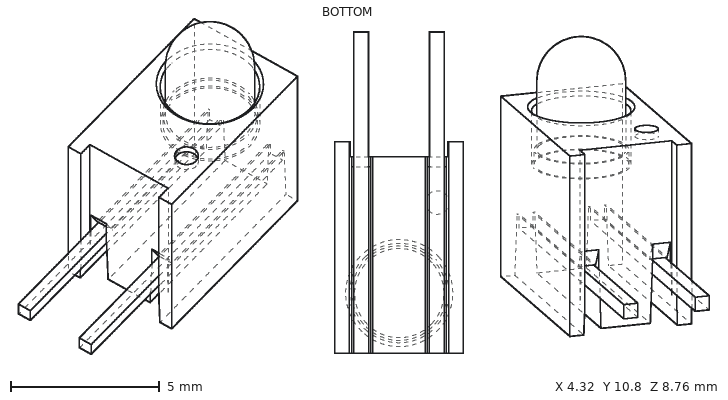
import cadquery as cq
import math

HOUSING_WIDTH = 4.32
HOUSING_DEPTH = 7.11
HOUSING_HEIGHT = 6.35
FRONT_Y = -HOUSING_DEPTH

CHEEK_THICKNESS = 0.53
RECESS_DEPTH = 0.51
RECESS_WIDTH = HOUSING_WIDTH - 2 * CHEEK_THICKNESS
RECESS_Y = FRONT_Y + RECESS_DEPTH

LEAD_PITCH = 2.54
LEAD_SIZE = 0.5
LEAD_TOP_Z = 2.15
LEAD_PROTRUSION = 3.68
LEAD_TIP_Y = FRONT_Y - LEAD_PROTRUSION
LEAD_XS = (-LEAD_PITCH / 2, LEAD_PITCH / 2)

SLOT_TOP_WIDTH = 0.635
SLOT_DRAFT = math.radians(2)
SLOT_BASE_WIDTH = SLOT_TOP_WIDTH + 2 * LEAD_TOP_Z * math.tan(SLOT_DRAFT)
SLOT_ENTRY_TOP_Z = 2.78
SLOT_ENTRY_DEPTH = 0.34

LENS_RADIUS = 1.5
LENS_Y = -2.03
LENS_TOP_Z = 8.76
DOME_BASE_Z = LENS_TOP_Z - LENS_RADIUS
WELL_RADIUS = 1.67
WELL_DEPTH = 2.0
WELL_FLOOR_Z = HOUSING_HEIGHT - WELL_DEPTH
WELL_CHAMFER = 0.13
FLANGE_RADIUS = 1.59
FLANGE_HEIGHT = 0.5

DIMPLE_RADIUS = 0.395
DIMPLE_DEPTH = 0.25
DIMPLE_X = LEAD_PITCH / 2
DIMPLE_Y = -5.07


def box(width, depth, height, x_center, y_front, z_base):
    """Box centred on x_center, running back from y_front and up from z_base."""
    block = cq.Workplane("XY").box(width, depth, height, centered=(True, False, False))
    return block.translate((x_center, y_front, z_base))


def cylinder(radius, height, x, y, z_base):
    return cq.Workplane("XY", origin=(x, y, z_base)).circle(radius).extrude(height)


def housing_block():
    block = box(HOUSING_WIDTH, HOUSING_DEPTH, HOUSING_HEIGHT, 0, FRONT_Y, 0)
    recess = box(RECESS_WIDTH, RECESS_DEPTH, HOUSING_HEIGHT, 0, FRONT_Y, 0)
    return block.cut(recess)


def lead_slot(x):
    """Tapered slot along the full depth of the housing, with its sloped entry."""
    channel = (
        cq.Workplane("XZ", origin=(x, 0, 0))
        .moveTo(-SLOT_BASE_WIDTH / 2, 0)
        .lineTo(-SLOT_TOP_WIDTH / 2, LEAD_TOP_Z)
        .lineTo(SLOT_TOP_WIDTH / 2, LEAD_TOP_Z)
        .lineTo(SLOT_BASE_WIDTH / 2, 0)
        .close()
        .extrude(HOUSING_DEPTH)
    )
    entry = (
        cq.Workplane("YZ", origin=(x, 0, 0))
        .moveTo(RECESS_Y, LEAD_TOP_Z)
        .lineTo(RECESS_Y, SLOT_ENTRY_TOP_Z)
        .lineTo(RECESS_Y + SLOT_ENTRY_DEPTH, LEAD_TOP_Z)
        .close()
        .extrude(SLOT_TOP_WIDTH / 2, both=True)
    )
    return channel.union(entry)


def lead(x):
    """Lead running along the slot roof and out through the front."""
    return box(LEAD_SIZE, -LEAD_TIP_Y, LEAD_SIZE, x, LEAD_TIP_Y, LEAD_TOP_Z - LEAD_SIZE)


def lens_well():
    return (
        cq.Workplane("XZ", origin=(0, LENS_Y, 0))
        .moveTo(0, WELL_FLOOR_Z)
        .lineTo(WELL_RADIUS, WELL_FLOOR_Z)
        .lineTo(WELL_RADIUS, HOUSING_HEIGHT - WELL_CHAMFER)
        .lineTo(WELL_RADIUS + WELL_CHAMFER, HOUSING_HEIGHT)
        .lineTo(0, HOUSING_HEIGHT)
        .close()
        .revolve(360, (0, 0, 0), (0, 1, 0))
    )


def lens():
    """Flanged cylinder ending in a hemisphere."""
    flange = cylinder(FLANGE_RADIUS, FLANGE_HEIGHT, 0, LENS_Y, WELL_FLOOR_Z)
    barrel = cylinder(LENS_RADIUS, DOME_BASE_Z - WELL_FLOOR_Z, 0, LENS_Y, WELL_FLOOR_Z)
    dome = cq.Workplane("XY", origin=(0, LENS_Y, DOME_BASE_Z)).sphere(LENS_RADIUS)
    return flange.union(barrel).union(dome)


part = housing_block()
for lead_x in LEAD_XS:
    part = part.cut(lead_slot(lead_x)).union(lead(lead_x))
part = part.cut(lens_well()).union(lens())
part = part.cut(cylinder(DIMPLE_RADIUS, DIMPLE_DEPTH, DIMPLE_X, DIMPLE_Y, HOUSING_HEIGHT - DIMPLE_DEPTH))

result = part